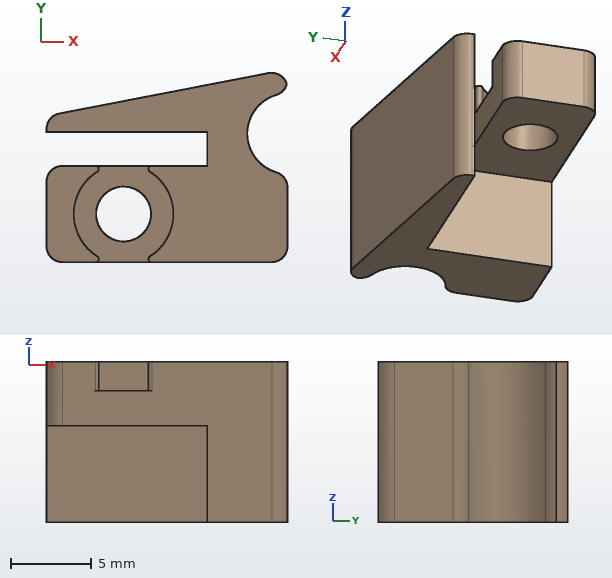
import cadquery as cq
import math

length = 15.0
height = 10.0
corner_radius = 1.0

arm_length = 10.0
arm_width = 6.0
arm_thickness = 4.0

slot_width = 2.1
wall_inner_y = arm_width + slot_width

wall_end_thickness = 1.0
taper_start_y = wall_inner_y + wall_end_thickness
taper_end_y = 12.0

notch_radius = 2.5
notch_center = (length, 8.0)

hole_center = (4.8, arm_width / 2)
hole_diameter = 3.4
counterbore_radius = 3.1
counterbore_depth = 1.8
lip_radius = 0.2


def polar(center, radius, angle):
    """Point on a circle, with the angle in radians from +X."""
    return (center[0] + radius * math.cos(angle), center[1] + radius * math.sin(angle))


def arc(sketch, center, radius, start, end):
    """Append a circular arc between two angles to an outline already at its start."""
    middle = polar(center, radius, (start + end) / 2)
    return sketch.threePointArc(middle, polar(center, radius, end))


def make_profile():
    """Full-height plan shape, including the area under the screw arm."""
    slope = math.atan2(taper_end_y - taper_start_y, length)
    slope_normal = slope + math.pi / 2
    r = corner_radius
    right_round_x = length - r

    def round_center_y(x):
        return taper_start_y + x * math.tan(slope) - r / math.cos(slope)

    wall_round = (r, round_center_y(r))
    tip_round = (right_round_x, round_center_y(right_round_x))

    blend_rise = math.sqrt((notch_radius + r) ** 2 - r**2)
    lower_blend = (right_round_x, notch_center[1] - blend_rise)
    upper_blend = (right_round_x, notch_center[1] + blend_rise)
    blend_angle = math.atan2(blend_rise, r)

    tip_angle = math.asin((upper_blend[1] - tip_round[1]) / (2 * r))

    front_round = (right_round_x, r)
    outline = cq.Workplane("XY").lineTo(right_round_x, 0)
    outline = arc(outline, front_round, r, -math.pi / 2, 0)
    outline = outline.lineTo(length, lower_blend[1])
    outline = arc(outline, lower_blend, r, 0, blend_angle)
    outline = arc(outline, notch_center, notch_radius, math.pi + blend_angle, math.pi - blend_angle)
    outline = arc(outline, upper_blend, r, -blend_angle, -tip_angle)
    outline = arc(outline, tip_round, r, tip_angle, slope_normal)
    outline = outline.lineTo(*polar(wall_round, r, slope_normal))
    outline = arc(outline, wall_round, r, slope_normal, math.pi)
    outline = outline.lineTo(0, wall_inner_y)
    outline = outline.lineTo(arm_length, wall_inner_y)
    outline = outline.lineTo(arm_length, arm_width)
    outline = outline.lineTo(0, arm_width)
    return outline.close()


def make_body():
    """Extruded body with the space under the arm removed and the arm's free end rounded."""
    body = make_profile().extrude(height)
    under_arm = cq.Workplane("XY").box(arm_length, arm_width, height - arm_thickness, centered=False)
    body = body.cut(under_arm)
    arm_end_face = body.faces("<X").faces("<Y")
    return arm_end_face.edges("|Z").fillet(corner_radius)


def make_counterbore():
    """Counterbore pocket whose cusps at the arm sides are rounded back into lips."""
    lip_dy = arm_width / 2 - lip_radius
    lip_dx = math.sqrt((counterbore_radius + lip_radius) ** 2 - lip_dy**2)
    lip_angle = math.atan2(lip_dy, lip_dx)
    half_width = arm_width / 2

    pocket = cq.Workplane("XY", origin=(*hole_center, height - counterbore_depth))
    pocket = pocket.moveTo(lip_dx, -half_width)
    pocket = arc(pocket, (lip_dx, -lip_dy), lip_radius, 3 * math.pi / 2, math.pi - lip_angle)
    pocket = arc(pocket, (0, 0), counterbore_radius, -lip_angle, lip_angle)
    pocket = arc(pocket, (lip_dx, lip_dy), lip_radius, math.pi + lip_angle, math.pi / 2)
    pocket = pocket.lineTo(-lip_dx, half_width)
    pocket = arc(pocket, (-lip_dx, lip_dy), lip_radius, math.pi / 2, -lip_angle)
    pocket = arc(pocket, (0, 0), counterbore_radius, math.pi - lip_angle, math.pi + lip_angle)
    pocket = arc(pocket, (-lip_dx, -lip_dy), lip_radius, lip_angle, -math.pi / 2)
    return pocket.close().extrude(counterbore_depth)


def make_screw_hole():
    """Clearance hole through the full arm thickness."""
    hole = cq.Workplane("XY", origin=(*hole_center, height - arm_thickness))
    return hole.circle(hole_diameter / 2).extrude(arm_thickness)


result = make_body().cut(make_counterbore()).cut(make_screw_hole())